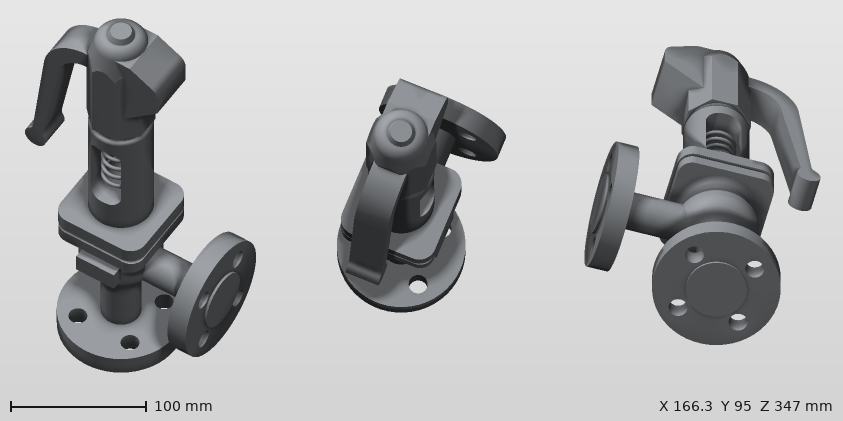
import cadquery as cq
import math


FLANGE_RADIUS = 47.5
FLANGE_THICKNESS = 16
FACE_RADIUS = 22.5
FACE_HEIGHT = 2
BOLT_CIRCLE_RADIUS = 32.5
BOLT_HOLE_RADIUS = 7
BOLT_COUNT = 4
FLANGE_BACK = FACE_HEIGHT + FLANGE_THICKNESS

INLET_RADIUS = 15
OUTLET_RADIUS = 14
OUTLET_Z = 90
OUTLET_REACH = 90

BODY_RADIUS = 31.5
BODY_LOWER_Z = 90
BODY_UPPER_Z = 95
BODY_LOWER_ROUND = 14
BODY_UPPER_ROUND = 8
INLET_BLEND_Z = 66
COLLAR_RADIUS = 26.5
COLLAR_BOTTOM_Z = 105.6
COLLAR_FILLET = 5

LOWER_CLAMP_SIDE = 73
LOWER_CLAMP_CORNER = 11
LOWER_CLAMP_Z = 119.2
LOWER_CLAMP_HEIGHT = 10
UPPER_CLAMP_SIDE = 74
UPPER_CLAMP_CORNER = 12.5
UPPER_CLAMP_Z = 132.5
UPPER_CLAMP_HEIGHT = 12
SEAL_RIM_RADIUS = 31
SEAL_RIM_HEIGHT = 0.9
SEAL_RADIUS = 28

PAD_HALF_WIDTH = 16.6
PAD_FRONT_Y = -35
PAD_BOTTOM_Z = 90

DRAIN_RADIUS = 13
DRAIN_LENGTH = 22
DRAIN_TILT = 30
DRAIN_FACE_X = -22.7
DRAIN_FACE_Z = 71.2

BONNET_RADIUS = 24.5
BONNET_TOP_Z = 243.4
BONNET_TOP_FILLET = 2.6
WINDOW_WIDTH = 27
WINDOW_HEIGHT = 60
WINDOW_MIDDLE_Z = 200
WINDOW_CORNER = 9
COIL_COUNT = 5
COIL_PITCH = 10
COIL_RADIUS = WINDOW_WIDTH / 2
WIRE_RADIUS = 1.5

NECK_RADIUS = 21
NECK_RING_RADIUS = 22.5
NECK_RING_Z = 245.7

CAP_BOTTOM_Z = 249
CAP_ACROSS_FLATS = 47.8
CAP_SIDES = 8
CAP_CORNER_RADIUS = CAP_ACROSS_FLATS / 2 / math.cos(math.pi / CAP_SIDES)
CONE_FLAT_Z = 322.8
CONE_TOP_Z = 335.7
CONE_TOP_RADIUS = 20
CROWN_Z = 342.8
BUTTON_BASE_RADIUS = 10.5
BUTTON_TOP_RADIUS = 8
TOP_Z = 347

LEVER_WIDTH = 26
LEVER_ROOT_X = -20.7
LEVER_OUTER_ROOT_Z = 317.9
LEVER_OUTER_RADIUS = 39
LEVER_OUTER_LEAN = 6.8
LEVER_INNER_ROOT_Z = 303.1
LEVER_INNER_RADIUS = 25.4
LEVER_INNER_LEAN = 10.2
KNOB_X = -67.27
KNOB_Z = 189
KNOB_RADIUS = 9
KNOB_FILLET = 7

HOUSING_WIDTH = 38
HOUSING_INNER_X = 10
HOUSING_SHOULDER_X = 20
HOUSING_END_X = 44.4
HOUSING_UPPER_END_Z = 322.2
HOUSING_LOWER_END_Z = 299.7
HOUSING_LOWER_SLOPE = 42
HOUSING_NOSE_RADIUS = 10


def disc(radius, bottom, top):
    """Upright cylinder on the valve axis."""
    return cq.Workplane("XY").workplane(offset=bottom).circle(radius).extrude(top - bottom)


def make_pipe_flange():
    """Flange lying on Z = 0 with its raised face down and bolt holes astride the axes."""
    holes = (
        cq.Workplane("XY")
        .polarArray(BOLT_CIRCLE_RADIUS, 180 / BOLT_COUNT, 360, BOLT_COUNT)
        .circle(BOLT_HOLE_RADIUS)
        .extrude(FLANGE_BACK)
    )
    plate = disc(FLANGE_RADIUS, FACE_HEIGHT, FLANGE_BACK).cut(holes)
    return plate.union(disc(FACE_RADIUS, 0, FACE_HEIGHT))


def make_outlet():
    """Outlet pipe and flange, modelled along Z and turned to point along +X."""
    pipe = disc(OUTLET_RADIUS, FLANGE_BACK, OUTLET_REACH)
    return (
        make_pipe_flange()
        .union(pipe)
        .rotate((0, 0, 0), (0, 1, 0), -90)
        .translate((OUTLET_REACH, 0, OUTLET_Z))
    )


def make_body():
    """Revolved body from the inlet pipe up to the underside of the lower clamp flange."""
    lower_centre_r = BODY_RADIUS - BODY_LOWER_ROUND
    drop = BODY_LOWER_Z - INLET_BLEND_Z
    offset = lower_centre_r - INLET_RADIUS
    blend = (offset**2 + drop**2 - BODY_LOWER_ROUND**2) / (2 * (BODY_LOWER_ROUND + offset))
    lower_angle = math.asin(drop / (blend + BODY_LOWER_ROUND))
    lower_join = (
        lower_centre_r + BODY_LOWER_ROUND * math.cos(lower_angle),
        BODY_LOWER_Z - BODY_LOWER_ROUND * math.sin(lower_angle),
    )

    rise = COLLAR_BOTTOM_Z - BODY_UPPER_Z
    upper_angle = 2 * math.atan((BODY_RADIUS - COLLAR_RADIUS) / rise)
    upper_join = (
        BODY_RADIUS - BODY_UPPER_ROUND * (1 - math.cos(upper_angle)),
        BODY_UPPER_Z + BODY_UPPER_ROUND * math.sin(upper_angle),
    )

    profile = (
        cq.Workplane("XZ")
        .moveTo(0, FACE_HEIGHT)
        .lineTo(INLET_RADIUS, FACE_HEIGHT)
        .lineTo(INLET_RADIUS, INLET_BLEND_Z)
        .tangentArcPoint(lower_join, relative=False)
        .tangentArcPoint((BODY_RADIUS, BODY_LOWER_Z), relative=False)
        .lineTo(BODY_RADIUS, BODY_UPPER_Z)
        .tangentArcPoint(upper_join, relative=False)
        .tangentArcPoint((COLLAR_RADIUS, COLLAR_BOTTOM_Z), relative=False)
        .lineTo(COLLAR_RADIUS, LOWER_CLAMP_Z - COLLAR_FILLET)
        .tangentArcPoint((COLLAR_FILLET, COLLAR_FILLET))
        .lineTo(0, LOWER_CLAMP_Z)
        .close()
    )
    return profile.revolve(360, (0, 0, 0), (0, 1, 0))


def make_pad():
    """Rectangular pad for the maker's mark on the -Y side of the body."""
    return (
        cq.Workplane("XZ")
        .center(0, (PAD_BOTTOM_Z + COLLAR_BOTTOM_Z) / 2)
        .rect(2 * PAD_HALF_WIDTH, COLLAR_BOTTOM_Z - PAD_BOTTOM_Z)
        .extrude(-PAD_FRONT_Y)
    )


def make_drain_boss():
    """Blind round boss leaning into the underside of the body."""
    tilt = math.radians(DRAIN_TILT)
    face = cq.Plane(
        origin=(DRAIN_FACE_X, 0, DRAIN_FACE_Z),
        xDir=(0, 1, 0),
        normal=(math.cos(tilt), 0, math.sin(tilt)),
    )
    return cq.Workplane(face).circle(DRAIN_RADIUS).extrude(DRAIN_LENGTH)


def make_clamp_plate(side, corner, bottom, height):
    """Square plate with rounded corners, centred on the valve axis."""
    plate = cq.Workplane("XY").workplane(offset=bottom).rect(side, side).extrude(height)
    return plate.edges("|Z").fillet(corner)


def make_clamp():
    """The two square clamp flanges with the stepped seal between them."""
    seal_bottom = LOWER_CLAMP_Z + LOWER_CLAMP_HEIGHT
    rim_top = seal_bottom + SEAL_RIM_HEIGHT
    lower = make_clamp_plate(LOWER_CLAMP_SIDE, LOWER_CLAMP_CORNER, LOWER_CLAMP_Z, LOWER_CLAMP_HEIGHT)
    upper = make_clamp_plate(UPPER_CLAMP_SIDE, UPPER_CLAMP_CORNER, UPPER_CLAMP_Z, UPPER_CLAMP_HEIGHT)
    rim = disc(SEAL_RIM_RADIUS, seal_bottom, rim_top)
    seal = disc(SEAL_RADIUS, rim_top, UPPER_CLAMP_Z)
    return lower.union(rim).union(seal).union(upper)


def make_coil(height):
    """One spring turn, simplified to a closed ring seated in the side walls of the window."""
    return cq.Workplane(cq.Solid.makeTorus(COIL_RADIUS, WIRE_RADIUS, cq.Vector(0, 0, height)))


def make_bonnet():
    """Round bonnet with a through window along Y that shows the spring."""
    bonnet = disc(BONNET_RADIUS, UPPER_CLAMP_Z + UPPER_CLAMP_HEIGHT, BONNET_TOP_Z)
    bonnet = bonnet.faces(">Z").edges().fillet(BONNET_TOP_FILLET)
    window = (
        cq.Workplane("XY")
        .box(WINDOW_WIDTH, 2 * FLANGE_RADIUS, WINDOW_HEIGHT)
        .edges("|Y")
        .fillet(WINDOW_CORNER)
        .translate((0, 0, WINDOW_MIDDLE_Z))
    )
    bonnet = bonnet.cut(window)
    for index in range(COIL_COUNT):
        height = WINDOW_MIDDLE_Z + (index - (COIL_COUNT - 1) / 2) * COIL_PITCH
        bonnet = bonnet.union(make_coil(height))
    return bonnet


def make_cap():
    """Octagonal cap trimmed by a cone, with a rounded crown and a button on top."""
    flat_radius = CAP_ACROSS_FLATS / 2
    cone_slope = (flat_radius - CONE_TOP_RADIUS) / (CONE_TOP_Z - CONE_FLAT_Z)
    cone_base_z = CONE_FLAT_Z - (CAP_CORNER_RADIUS - flat_radius) / cone_slope
    crown_width = CONE_TOP_RADIUS - BUTTON_BASE_RADIUS
    crown_height = CROWN_Z - CONE_TOP_Z
    crown_radius = (crown_width**2 + crown_height**2) / (2 * crown_height)
    envelope = (
        cq.Workplane("XZ")
        .moveTo(0, CAP_BOTTOM_Z)
        .lineTo(CAP_CORNER_RADIUS, CAP_BOTTOM_Z)
        .lineTo(CAP_CORNER_RADIUS, cone_base_z)
        .lineTo(CONE_TOP_RADIUS, CONE_TOP_Z)
        .radiusArc((BUTTON_BASE_RADIUS, CROWN_Z), -crown_radius)
        .lineTo(BUTTON_TOP_RADIUS, TOP_Z)
        .lineTo(0, TOP_Z)
        .close()
        .revolve(360, (0, 0, 0), (0, 1, 0))
    )
    octagon = (
        cq.Workplane("XY")
        .workplane(offset=CAP_BOTTOM_Z)
        .polygon(CAP_SIDES, 2 * CAP_CORNER_RADIUS)
        .extrude(TOP_Z - CAP_BOTTOM_Z)
        .rotate((0, 0, 0), (0, 0, 1), 180 / CAP_SIDES)
    )
    return octagon.intersect(envelope)


def make_neck():
    """Stepped neck joining the bonnet to the cap."""
    lower = disc(NECK_RADIUS, BONNET_TOP_Z, NECK_RING_Z)
    return lower.union(disc(NECK_RING_RADIUS, NECK_RING_Z, CAP_BOTTOM_Z))


def lever_bend(root_z, radius, lean):
    """Middle and end points of a lever edge that leaves the cap level and turns down."""
    turn = math.radians(90 - lean)
    points = []
    for angle in (turn / 2, turn):
        points.append((LEVER_ROOT_X - radius * math.sin(angle), root_z - radius * (1 - math.cos(angle))))
    return points


def lever_tip(bend_end, lean):
    """Point at knob height on the straight lever edge that follows a bend."""
    drop = bend_end[1] - KNOB_Z
    return (bend_end[0] - drop * math.tan(math.radians(lean)), KNOB_Z)


def make_lever():
    """Bent, tapering lever on the -X side with a cylindrical knob at its end."""
    outer_mid, outer_end = lever_bend(LEVER_OUTER_ROOT_Z, LEVER_OUTER_RADIUS, LEVER_OUTER_LEAN)
    inner_mid, inner_end = lever_bend(LEVER_INNER_ROOT_Z, LEVER_INNER_RADIUS, LEVER_INNER_LEAN)
    arm = (
        cq.Workplane("XZ")
        .moveTo(LEVER_ROOT_X, LEVER_OUTER_ROOT_Z)
        .threePointArc(outer_mid, outer_end)
        .lineTo(*lever_tip(outer_end, LEVER_OUTER_LEAN))
        .lineTo(*lever_tip(inner_end, LEVER_INNER_LEAN))
        .lineTo(*inner_end)
        .threePointArc(inner_mid, (LEVER_ROOT_X, LEVER_INNER_ROOT_Z))
        .close()
        .extrude(LEVER_WIDTH / 2, both=True)
    )
    knob = cq.Workplane("XZ").center(KNOB_X, KNOB_Z).circle(KNOB_RADIUS).extrude(LEVER_WIDTH / 2, both=True)
    corner_zone = cq.selectors.BoxSelector(
        (KNOB_X - KNOB_RADIUS, -LEVER_WIDTH, KNOB_Z + KNOB_RADIUS / 2),
        (KNOB_X + KNOB_RADIUS, LEVER_WIDTH, KNOB_Z + KNOB_RADIUS),
    )
    return arm.union(knob).edges("|Y").edges(corner_zone).fillet(KNOB_FILLET)


def make_housing():
    """Wedge-shaped lever housing on the +X side of the cap."""
    undercut = (HOUSING_END_X - HOUSING_INNER_X) * math.tan(math.radians(HOUSING_LOWER_SLOPE))
    return (
        cq.Workplane("XZ")
        .moveTo(0, CONE_TOP_Z)
        .lineTo(HOUSING_SHOULDER_X, CONE_TOP_Z)
        .lineTo(HOUSING_END_X, HOUSING_UPPER_END_Z)
        .lineTo(HOUSING_END_X, HOUSING_LOWER_END_Z)
        .lineTo(HOUSING_INNER_X, HOUSING_LOWER_END_Z - undercut)
        .lineTo(0, HOUSING_LOWER_END_Z - undercut)
        .close()
        .extrude(HOUSING_WIDTH / 2, both=True)
        .edges("|Y and >X")
        .edges(">Z")
        .fillet(HOUSING_NOSE_RADIUS)
    )


result = (
    make_body()
    .union(make_pipe_flange())
    .union(make_outlet())
    .union(make_pad())
    .union(make_drain_boss())
    .union(make_clamp())
    .union(make_bonnet())
    .union(make_neck())
    .union(make_cap())
    .union(make_lever())
    .union(make_housing())
)